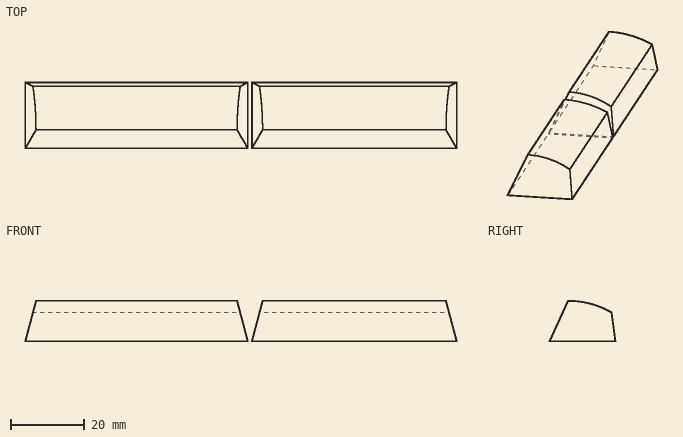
import cadquery as cq
import math

TOTAL_LENGTH = 117.5
LONG_BAR_LENGTH = 60.6
GAP = 1.0
SHORT_BAR_LENGTH = TOTAL_LENGTH - LONG_BAR_LENGTH - GAP

DEPTH = 18.0
HEIGHT = 11.0
BACK_HEIGHT = 7.9
FRONT_SETBACK = 5.0
BACK_SETBACK = 1.0
END_SETBACK = 2.9


def cross_section_prism(length):
    """Bar with square ends: sloped front and back, convex curved top."""
    front_y = -DEPTH / 2
    back_y = DEPTH / 2
    top_front_y = front_y + FRONT_SETBACK
    top_back_y = back_y - BACK_SETBACK

    run = top_back_y - top_front_y
    drop = HEIGHT - BACK_HEIGHT
    radius = (run**2 + drop**2) / (2 * drop)
    mid_y = top_front_y + run / 2
    mid_z = HEIGHT - radius + math.sqrt(radius**2 - (run / 2) ** 2)

    return (
        cq.Workplane("YZ")
        .moveTo(front_y, 0)
        .lineTo(top_front_y, HEIGHT)
        .threePointArc((mid_y, mid_z), (top_back_y, BACK_HEIGHT))
        .lineTo(back_y, 0)
        .close()
        .extrude(length / 2, both=True)
    )


def end_taper_prism(length):
    """Trapezoid seen along Y, whose sloped sides form the two end faces."""
    half = length / 2
    return (
        cq.Workplane("XZ")
        .polyline([
            (-half, 0),
            (half, 0),
            (half - END_SETBACK, HEIGHT),
            (-half + END_SETBACK, HEIGHT),
        ])
        .close()
        .extrude(DEPTH, both=True)
    )


def tapered_bar(length, center_x):
    """One bar, tapered on all four sides, standing on Z = 0."""
    bar = cross_section_prism(length).intersect(end_taper_prism(length))
    return bar.translate((center_x, 0, 0))


long_bar = tapered_bar(LONG_BAR_LENGTH, (LONG_BAR_LENGTH - TOTAL_LENGTH) / 2)
short_bar = tapered_bar(SHORT_BAR_LENGTH, (TOTAL_LENGTH - SHORT_BAR_LENGTH) / 2)

result = cq.Compound.makeCompound([
    *long_bar.solids().vals(),
    *short_bar.solids().vals(),
])